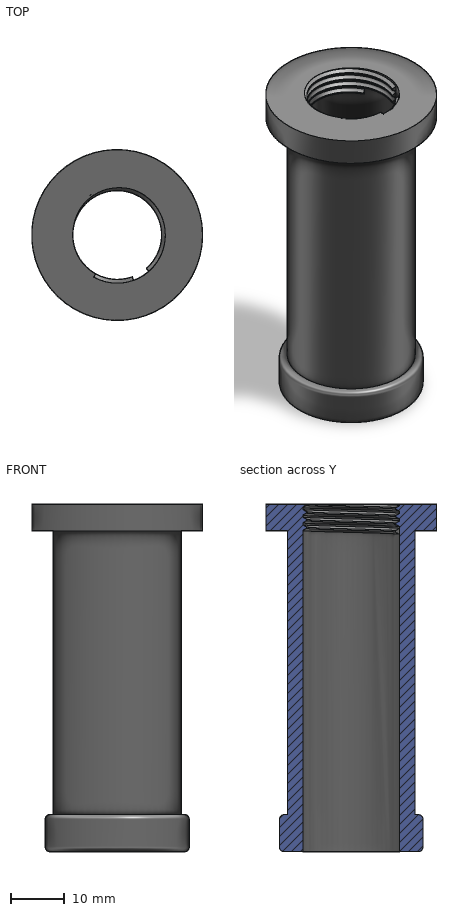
import cadquery as cq
import math

length = 65.0
flange_diameter = 32.0
flange_thickness = 5.0
tube_diameter = 24.0
bore_diameter = 18.0

collar_diameter = 27.0
collar_height = 7.0
collar_round = 1.0

thread_pitch = 1.4
thread_depth = 0.7
crest_width = 0.25
flank_angle = 30.0
wall_overlap = 0.2
start_angle = 3.0
top_angle = 205.0
end_angle = 241.0
turns_below_top = 3 + (top_angle - start_angle) / 360
turns_past_top = (end_angle - top_angle) / 360

gap_start_angle = -70.0
gap_end_angle = -49.0

bore_radius = bore_diameter / 2


def cylinder(diameter, height, base=0.0):
    return cq.Workplane("XY").workplane(offset=base).circle(diameter / 2).extrude(height)


def make_sleeve():
    collar = cylinder(collar_diameter, collar_height).edges().fillet(collar_round)
    tube = cylinder(tube_diameter, length)
    flange = cylinder(flange_diameter, flange_thickness, length - flange_thickness)
    return tube.union(collar).union(flange).cut(cylinder(bore_diameter, length))


def make_gap():
    """Sector of the bore that reaches well past the ridge root."""
    reach = 2 * bore_radius
    corners = [(0, 0)]
    for angle in (gap_start_angle, gap_end_angle):
        direction = math.radians(angle)
        corners.append((reach * math.cos(direction), reach * math.sin(direction)))
    return cq.Workplane("XY").polyline(corners).close().extrude(length)


def make_thread():
    start_z = length - turns_below_top * thread_pitch
    helix_height = (turns_below_top + turns_past_top) * thread_pitch
    helix = cq.Wire.makeHelix(thread_pitch, helix_height, bore_radius)
    crest_half = crest_width / 2
    root_half = crest_half + (thread_depth + wall_overlap) * math.tan(math.radians(flank_angle))
    root_x = bore_radius + wall_overlap
    crest_x = bore_radius - thread_depth
    ridge = (
        cq.Workplane("XZ")
        .polyline([(root_x, -root_half), (crest_x, -crest_half), (crest_x, crest_half), (root_x, root_half)])
        .close()
        .sweep(cq.Workplane(helix), isFrenet=True)
    )
    ridge = ridge.rotate((0, 0, 0), (0, 0, 1), start_angle).translate((0, 0, start_z))
    return ridge.intersect(cylinder(tube_diameter, length)).cut(make_gap())


result = make_sleeve().union(make_thread())